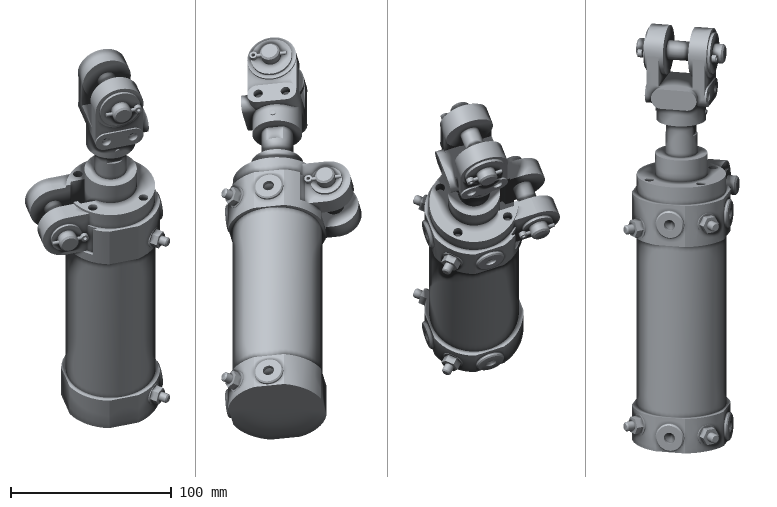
import cadquery as cq

tube_d = 56.0
head_d = 61.7
head_flat = 29.5
bottom_head_h = 22.6
top_head_z = 135.3
top_head_h = 27.0
cover_d = 55.5
cover_top_z = 173.3
gland_d = 32.5
gland_top_z = 187.3
bolt_hole_d = 6.0
bolt_hole_depth = 8.0
bolt_offset = 16.5

rod_d = 20.0
rod_flat_across = 17.0
rod_flat_h = 9.2
rod_end_d = 16.0

plug_d = 18.0
plug_face = 31.5
plug_chamfer = 0.8
plug_hole_d = 7.0
plug_hole_depth = 2.7
port_rows = [(10.0, 10.8, 14.3), (149.5, 149.5, 143.5)]
nipple_base_d = 13.2
nipple_base_end = 31.0
nipple_hex = 11.3
nipple_hex_end = 35.5
nipple_d = 6.0
nipple_end = 41.0
nipple_chamfer = 0.8

eye_inner_x = 8.0
eye_outer_x = 19.7
boss_h = 1.5
boss_face_x = eye_outer_x + boss_h

clevis_d = 30.2
clevis_pin_y = -34.8
clevis_pin_z = 156.5
clevis_boss_d = 20.0
slot_half_width = 10.8
slot_d = 50.0
slot_floor_z = 139.3
notch_half_width = 24.5
notch_floor_d = 57.5

knuckle_d = 31.0
knuckle_bottom_z = 209.5
knuckle_floor_z = 234.5
knuckle_top_z = 269.5
knuckle_pin_z = knuckle_top_z - knuckle_d / 2
knuckle_boss_d = 26.0
arm_inner_x = 10.8
arm_outer_x = 18.5
pad_h = 12.7
pad_back_y = 20.5
pad_back_width = 29.0
pad_hole_d = 6.0
pad_hole_depth = 5.5
pad_hole_y = 8.5
lock_pin_d = 3.0
lock_pin_z = 215.0
lock_pin_stand_out = 0.8

pin_d = 12.0
pin_half_length = 27.8
pin_chamfer = 1.0
cotter_d = 2.3
cotter_x = 23.7
cotter_tail = 10.0
cotter_ring_d = 4.9
cotter_ring_hole_d = 2.3
cotter_ring_width = 2.7
cotter_ring_y = 10.8



def rod_along_z(diameter, z0, z1):
    return cq.Workplane("XY").workplane(offset=z0).circle(diameter / 2).extrude(z1 - z0)


def rod_along_x(diameter, x0, x1, y, z):
    return cq.Workplane("YZ", origin=(x0, y, z)).circle(diameter / 2).extrude(x1 - x0)


def block(x0, x1, y0, y1, z0, z1):
    return cq.Workplane("XY").box(x1 - x0, y1 - y0, z1 - z0, centered=False).translate((x0, y0, z0))


def on_both_sides(shape):
    return shape.union(shape.mirror("YZ"))



def head(z0, height):
    """Round head with four flats."""
    square = cq.Workplane("XY").workplane(offset=z0).rect(2 * head_flat, 2 * head_flat).extrude(height)
    return rod_along_z(head_d, z0, z0 + height).intersect(square)


def plug(z):
    """Chamfered plug on the -X flat."""
    body = rod_along_x(plug_d, -plug_face, 0, 0, z)
    return body.faces("<X").chamfer(plug_chamfer)


def plug_hole(z):
    """Blind hole with a conical bottom, in the -X plug."""
    radius = plug_hole_d / 2
    wall_end_x = plug_hole_depth - plug_face
    tip_x = wall_end_x + radius
    profile = [(-plug_face, 0), (-plug_face, radius), (wall_end_x, radius), (tip_x, 0)]
    hole = cq.Workplane("XY").polyline(profile).close().revolve(360, (0, 0), (1, 0))
    return hole.translate((0, 0, z))


def nipple(z, angle):
    """Round base, hexagon with flats up and down and chamfered stem, pointing out at the given angle."""
    base = cq.Workplane("YZ").circle(nipple_base_d / 2).extrude(nipple_base_end)
    hexagon = cq.Workplane("YZ").polygon(6, nipple_hex).extrude(nipple_hex_end)
    stem = cq.Workplane("YZ").circle(nipple_d / 2).extrude(nipple_end).faces(">X").chamfer(nipple_chamfer)
    return base.union(hexagon).union(stem).rotate((0, 0, 0), (0, 0, 1), angle).translate((0, 0, z))


def clevis_arm():
    """Arm on the +X side, with its eye and boss."""
    radius = clevis_d / 2
    arm = block(
        eye_inner_x, eye_outer_x, clevis_pin_y, -gland_d / 2, clevis_pin_z - radius, clevis_pin_z + radius
    )
    eye = rod_along_x(clevis_d, eye_inner_x, eye_outer_x, clevis_pin_y, clevis_pin_z)
    boss = rod_along_x(clevis_boss_d, eye_inner_x, boss_face_x, clevis_pin_y, clevis_pin_z)
    return arm.union(eye).union(boss)


def arm_notch():
    """Shallow recess in the top head around the root of the clevis."""
    floor_z = clevis_pin_z - clevis_d / 2
    top_z = top_head_z + top_head_h
    recess = block(-notch_half_width, notch_half_width, -head_d, -gland_d / 2, floor_z, top_z)
    return recess.cut(rod_along_z(notch_floor_d, floor_z, top_z))


def gland_slot():
    """Opening between the clevis arms, wider inside the cover than between the arms."""
    wide = block(-slot_half_width, slot_half_width, -slot_d / 2, 0, slot_floor_z, cover_top_z)
    wide = wide.intersect(rod_along_z(slot_d, slot_floor_z, cover_top_z))
    return wide.union(block(-eye_inner_x, eye_inner_x, -head_d, 0, slot_floor_z, cover_top_z))


def bolt_holes():
    return (
        cq.Workplane("XY").workplane(offset=cover_top_z)
        .rect(2 * bolt_offset, 2 * bolt_offset, forConstruction=True).vertices()
        .circle(bolt_hole_d / 2).extrude(-bolt_hole_depth)
    )


def piston_rod():
    """Rod with two wrench flats under the knuckle and a thinner end inside it."""
    half = rod_flat_across / 2
    rod = rod_along_z(rod_d, gland_top_z, knuckle_bottom_z)
    flats = block(half, rod_d, -rod_d, rod_d, knuckle_bottom_z - rod_flat_h, knuckle_bottom_z)
    return rod.cut(on_both_sides(flats)).union(rod_along_z(rod_end_d, knuckle_bottom_z, knuckle_floor_z))


def cylinder_body():
    """Tube, heads, cover, clevis, gland, rod and port fittings in one solid."""
    body = rod_along_z(tube_d, 0, top_head_z).union(rod_along_z(cover_d, top_head_z, cover_top_z))
    body = body.union(head(0, bottom_head_h))
    body = body.union(head(top_head_z, top_head_h).cut(arm_notch()))
    body = body.union(on_both_sides(clevis_arm())).cut(gland_slot()).cut(bolt_holes())
    body = body.union(rod_along_z(gland_d, slot_floor_z, gland_top_z)).union(piston_rod())
    for plug_z, left_nipple_z, right_nipple_z in port_rows:
        for angle in (0, -90):
            body = body.union(plug(plug_z).rotate((0, 0, 0), (0, 0, 1), angle))
            body = body.cut(plug_hole(plug_z).rotate((0, 0, 0), (0, 0, 1), angle))
        body = body.union(nipple(left_nipple_z, 135)).union(nipple(right_nipple_z, 45))
    return body.cut(rod_along_x(pin_d, -pin_half_length, pin_half_length, clevis_pin_y, clevis_pin_z))



def knuckle():
    """Fork with a round base, rounded pads across it, and a hole for the rod end."""
    half_width = knuckle_d / 2
    pad_z = knuckle_floor_z - pad_h / 2
    base = rod_along_z(knuckle_d, knuckle_bottom_z, knuckle_floor_z)
    side_pad = (
        cq.Workplane("YZ", origin=(0, 0, pad_z)).slot2D(knuckle_d, pad_h).extrude(eye_outer_x, both=True)
    )
    back_pad = cq.Workplane("XZ", origin=(0, 0, pad_z)).slot2D(pad_back_width, pad_h).extrude(-pad_back_y)
    arm = block(arm_inner_x, arm_outer_x, -half_width, half_width, pad_z, knuckle_pin_z)
    floor = block(-arm_outer_x, arm_outer_x, -half_width, half_width, pad_z, knuckle_floor_z)
    eye = rod_along_x(knuckle_d, eye_inner_x, eye_outer_x, 0, knuckle_pin_z)
    boss = rod_along_x(knuckle_boss_d, eye_inner_x, boss_face_x, 0, knuckle_pin_z)
    lock_end_x = half_width + lock_pin_stand_out
    lock_pin = rod_along_x(lock_pin_d, -lock_end_x, lock_end_x, 0, lock_pin_z)
    body = base.union(side_pad).union(back_pad).union(floor).union(lock_pin)
    body = body.union(on_both_sides(arm.union(eye).union(boss)))
    for y in (-pad_hole_y, pad_hole_y):
        hole = rod_along_x(pad_hole_d, eye_outer_x - pad_hole_depth, eye_outer_x, y, pad_z)
        body = body.cut(on_both_sides(hole))
    body = body.cut(rod_along_z(rod_end_d, knuckle_bottom_z, knuckle_floor_z))
    return body.cut(rod_along_x(pin_d, -pin_half_length, pin_half_length, 0, knuckle_pin_z))



def cotter(x, y, z):
    """Straight wire along Y through the pin, with a flat ring at its +Y end."""
    wire_length = cotter_tail + cotter_ring_y
    wire = cq.Workplane("XZ", origin=(0, cotter_ring_y, 0)).circle(cotter_d / 2).extrude(wire_length)
    half = cotter_ring_width / 2
    ring = rod_along_x(cotter_ring_d, -half, half, cotter_ring_y, 0)
    eye = rod_along_x(cotter_ring_hole_d, -half, half, cotter_ring_y, 0)
    return wire.union(ring).cut(eye).translate((x, y, z))


def pin(y, z):
    """Chamfered pin along X with a cotter hole near each end."""
    body = rod_along_x(pin_d, -pin_half_length, pin_half_length, 0, 0).faces("<X or >X").chamfer(pin_chamfer)
    for x in (-cotter_x, cotter_x):
        body = body.cut(cq.Workplane("XZ", origin=(x, 0, 0)).circle(cotter_d / 2).extrude(pin_d, both=True))
    return body.translate((0, y, z))


pin_places = [(clevis_pin_y, clevis_pin_z), (0, knuckle_pin_z)]
pins = [pin(y, z) for y, z in pin_places]
cotters = [cotter(x, y, z) for y, z in pin_places for x in (-cotter_x, cotter_x)]
bodies = [cylinder_body(), knuckle()] + pins + cotters
result = cq.Compound.makeCompound([body.val() for body in bodies])